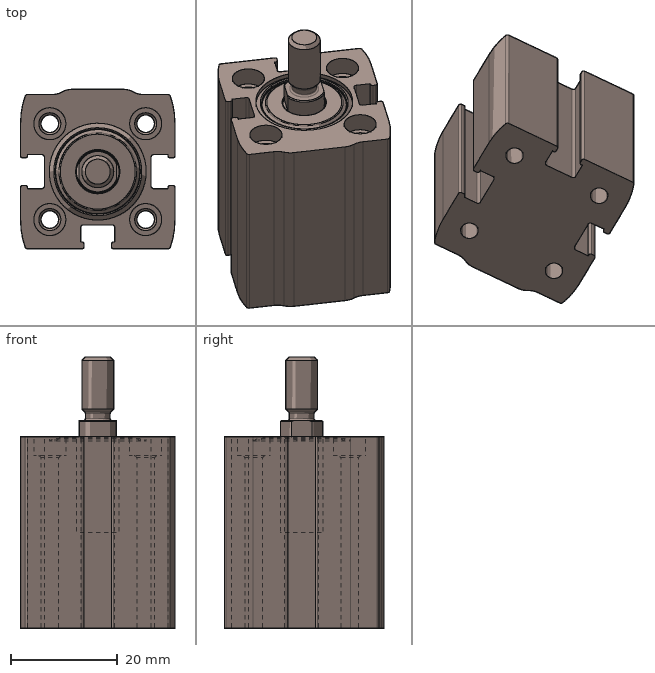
import cadquery as cq
import math


total_height = 51.0
housing_height = 36.0
housing_width = 29.0
side_arc_radius = 15.0
side_arc_start = 9.2
corner_fillet = 0.5
ridge_height = 0.95
ridge_middle_half = 6.7
ridge_arc_radius = 3.55

slot_depth = 4.5
slot_width = 6.4
slot_mouth = 5.15
lip_thickness = 1.35
slot_fillet = 0.5
lip_fillet = 0.4

hole_spacing = 18.0
hole_diameter = 3.25
hole_chamfer_diameter = 4.15
counterbore_diameter = 6.0
counterbore_depth = 3.5

groove_radius = 18.2 / 2
groove_depth = 0.85
crest_radius = 8.25
crest_depth = 0.33
seat_radius = 16.0 / 2
seat_depth = 0.485
guide_radius = 7.9
guide_foot_depth = 0.8
shoulder_radius = 7.3
shoulder_depth = 0.3
guide_face_radius = 7.05
guide_face_depth = 0.2

rod_diameter = 8.0
bore_chamfer = 0.15
rod_insertion = housing_height / 2
collar_top = 39.0
collar_chamfer = 0.2
flat_spacing = 7.0
flat_end_depth = 0.35
flat_runout = 0.3
thread_diameter = 6.0
undercut_diameter = 4.7
undercut_fillet = 0.35
thread_bottom = 41.15

half_width = housing_width / 2
rod_radius = rod_diameter / 2
thread_chamfer = (thread_diameter - undercut_diameter) / 2


def ridge():
    """Low ridge along the +Y side; each flank is an S of two equal tangent arcs."""
    arc_rise = ridge_height / 2
    arc_run = math.sqrt(ridge_arc_radius**2 - (ridge_arc_radius - arc_rise) ** 2)
    base_half = ridge_middle_half + arc_run
    top_half = ridge_middle_half - arc_run
    middle_y = half_width + arc_rise
    top_y = half_width + ridge_height
    return (
        cq.Workplane("XY")
        .moveTo(-base_half, half_width)
        .radiusArc((-ridge_middle_half, middle_y), -ridge_arc_radius)
        .radiusArc((-top_half, top_y), ridge_arc_radius)
        .lineTo(top_half, top_y)
        .radiusArc((ridge_middle_half, middle_y), ridge_arc_radius)
        .radiusArc((base_half, half_width), -ridge_arc_radius)
        .lineTo(base_half, 0)
        .lineTo(-base_half, 0)
        .close()
        .extrude(housing_height)
    )


def housing_blank():
    """Square profile with bowed corner flanks and a low ridge along the +Y side."""
    arc_center = half_width - side_arc_radius

    def flank_x(y):
        return arc_center + math.sqrt(side_arc_radius**2 - (y - side_arc_start) ** 2)

    corner_x = flank_x(half_width)
    middle_y = (side_arc_start + half_width) / 2
    middle_x = flank_x(middle_y)
    square = (
        cq.Workplane("XY")
        .moveTo(half_width, -side_arc_start)
        .lineTo(half_width, side_arc_start)
        .threePointArc((middle_x, middle_y), (corner_x, half_width))
        .lineTo(-corner_x, half_width)
        .threePointArc((-middle_x, middle_y), (-half_width, side_arc_start))
        .lineTo(-half_width, -side_arc_start)
        .threePointArc((-middle_x, -middle_y), (-corner_x, -half_width))
        .lineTo(corner_x, -half_width)
        .threePointArc((middle_x, -middle_y), (half_width, -side_arc_start))
        .close()
        .extrude(housing_height)
    )
    square = square.edges("|Z").edges(">Y or <Y").fillet(corner_fillet)
    return square.union(ridge())


def t_slot(angle):
    """Slot open on the -Y side, turned about the rod axis by the given angle.

    Two lips narrow its mouth. Their outer and inner corners and the floor corners are rounded.
    """
    face_y = -half_width
    floor_y = face_y + slot_depth
    lip_y = face_y + lip_thickness
    half_mouth = slot_mouth / 2
    half_slot = slot_width / 2
    flare = half_mouth + lip_fillet
    return (
        cq.Workplane("XY")
        .moveTo(-flare, face_y)
        .radiusArc((-half_mouth, face_y + lip_fillet), -lip_fillet)
        .lineTo(-half_mouth, lip_y - lip_fillet)
        .radiusArc((-flare, lip_y), -lip_fillet)
        .lineTo(-half_slot, lip_y)
        .lineTo(-half_slot, floor_y - slot_fillet)
        .radiusArc((slot_fillet - half_slot, floor_y), slot_fillet)
        .lineTo(half_slot - slot_fillet, floor_y)
        .radiusArc((half_slot, floor_y - slot_fillet), slot_fillet)
        .lineTo(half_slot, lip_y)
        .lineTo(flare, lip_y)
        .radiusArc((half_mouth, lip_y - lip_fillet), -lip_fillet)
        .lineTo(half_mouth, face_y + lip_fillet)
        .radiusArc((flare, face_y), -lip_fillet)
        .close()
        .extrude(housing_height)
        .rotate((0, 0, 0), (0, 0, 1), angle)
    )


def mounting_holes():
    """Four through holes, counterbored at the top, with a chamfer under each counterbore."""
    floor_z = housing_height - counterbore_depth
    chamfer = (hole_chamfer_diameter - hole_diameter) / 2
    profile = [
        (0, 0),
        (hole_diameter / 2, 0),
        (hole_diameter / 2, floor_z - chamfer),
        (hole_chamfer_diameter / 2, floor_z),
        (counterbore_diameter / 2, floor_z),
        (counterbore_diameter / 2, housing_height),
        (0, housing_height),
    ]
    cutter = cq.Workplane("XZ").polyline(profile).close().revolve(360, (0, 0), (0, 1)).val()
    centers = cq.Workplane("XY").rect(hole_spacing, hole_spacing, forConstruction=True).vertices()
    return centers.eachpoint(lambda place: cutter.moved(place))


def end_face_cut():
    """Ring groove, crest, guide face and rod bore turned into the top of the housing."""
    top = housing_height
    profile = [
        (0, top - rod_insertion),
        (rod_radius, top - rod_insertion),
        (rod_radius, top - guide_face_depth - bore_chamfer),
        (rod_radius + bore_chamfer, top - guide_face_depth),
        (guide_face_radius, top - guide_face_depth),
        (shoulder_radius, top - shoulder_depth),
        (guide_radius, top - guide_foot_depth),
        (seat_radius, top - guide_foot_depth),
        (seat_radius, top - seat_depth),
        (crest_radius, top - crest_depth),
        (groove_radius, top - groove_depth),
        (groove_radius, top),
        (0, top),
    ]
    return cq.Workplane("XZ").polyline(profile).close().revolve(360, (0, 0), (0, 1))


def make_housing():
    housing = housing_blank()
    for angle in (-90, 0, 90):
        housing = housing.cut(t_slot(angle))
    return housing.cut(mounting_holes()).cut(end_face_cut())


def rod_blank():
    """Turned rod: chamfered collar, undercut with rounded ends, chamfered thread."""
    bottom = housing_height - rod_insertion
    thread_radius = thread_diameter / 2
    neck_radius = undercut_diameter / 2
    arc_inset = undercut_fillet * (1 - math.sqrt(0.5))
    tangent_length = undercut_fillet * math.tan(math.radians(22.5))
    neck_top = thread_bottom - thread_chamfer
    chamfer_step = tangent_length * math.sqrt(0.5)
    return (
        cq.Workplane("XZ")
        .moveTo(0, bottom)
        .lineTo(rod_radius, bottom)
        .lineTo(rod_radius, collar_top - collar_chamfer)
        .lineTo(rod_radius - collar_chamfer, collar_top)
        .lineTo(neck_radius + undercut_fillet, collar_top)
        .threePointArc(
            (neck_radius + arc_inset, collar_top + arc_inset),
            (neck_radius, collar_top + undercut_fillet),
        )
        .lineTo(neck_radius, neck_top - tangent_length)
        .tangentArcPoint((neck_radius + chamfer_step, neck_top + chamfer_step), relative=False)
        .lineTo(thread_radius, thread_bottom)
        .lineTo(thread_radius, total_height - thread_chamfer)
        .lineTo(thread_radius - thread_chamfer, total_height)
        .lineTo(0, total_height)
        .close()
        .revolve(360, (0, 0), (0, 1))
    )


def collar_flat():
    """Cutter for the wrench flat on the +X side; its lower end slopes out to the full diameter."""
    flat_bottom = housing_height - flat_end_depth
    profile = [
        (flat_spacing / 2, collar_top),
        (flat_spacing / 2, flat_bottom),
        (rod_radius, flat_bottom - flat_runout),
        (rod_radius, collar_top),
    ]
    return cq.Workplane("XZ").polyline(profile).close().extrude(rod_radius, both=True)


def make_rod():
    flat = collar_flat()
    return rod_blank().cut(flat).cut(flat.mirror("YZ"))


housing = make_housing()
rod = make_rod()

result = cq.Compound.makeCompound([housing.val(), rod.val()])